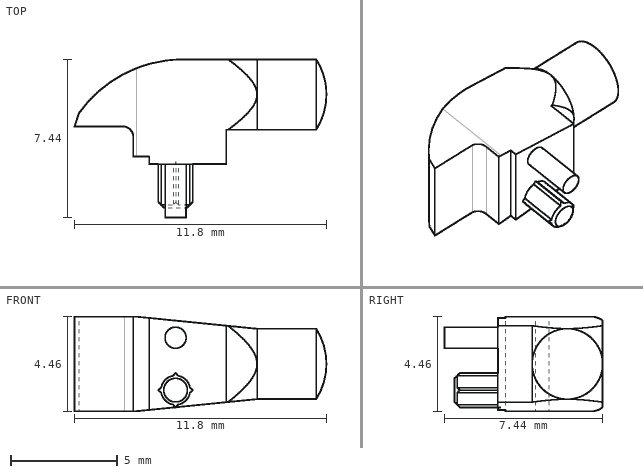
import cadquery as cq
import math

total_length = 11.84

barrel_radius = 1.66
barrel_start = 8.57
dome_height = 0.49
dome_start = total_length - dome_height
cone_angle = 30.0

back_y = barrel_radius
beak_under_y = -1.5
beak_edge = (0.2, -0.88)
beak_arc_radius = 6.0
throat_x = 2.76
throat_radius = 0.5
throat_start = 2.33
shoulder_y = -2.91
foot_start = 3.5
foot_end = 7.14
foot_y = -3.27

body_half_width = 2.23
taper_start = 2.9

pin_x = 4.75
pin_offset_z = 1.23
plain_pin_radius = 0.5
plain_pin_end = -5.78
ribbed_pin_radius = 0.69
ribbed_pin_end = -5.3
rib_tip_radius = 0.82
rib_root_radius = 0.59
rib_half_width = 0.19
rib_count = 4
pin_chamfer = 0.26
pin_root_y = foot_y + 0.12


def make_body():
    """Beaked outline, narrowed in Z toward the barrel and trimmed by a cone."""
    arc_drop = back_y - beak_edge[1]
    arc_run = math.sqrt(2 * beak_arc_radius * arc_drop - arc_drop**2)
    arc_end_x = beak_edge[0] + arc_run
    outline = (
        cq.Workplane("XY")
        .moveTo(0, beak_under_y)
        .lineTo(*beak_edge)
        .radiusArc((arc_end_x, back_y), beak_arc_radius)
        .lineTo(barrel_start, back_y)
        .lineTo(barrel_start, -barrel_radius)
        .lineTo(foot_end, -barrel_radius)
        .lineTo(foot_end, foot_y)
        .lineTo(foot_start, foot_y)
        .lineTo(foot_start, shoulder_y)
        .lineTo(throat_x, shoulder_y)
        .lineTo(throat_x, beak_under_y - throat_radius)
        .radiusArc((throat_start, beak_under_y), -throat_radius)
        .close()
        .extrude(body_half_width, both=True)
    )
    width_outline = (
        cq.Workplane("XZ", origin=(0, back_y, 0))
        .polyline([
            (0, -body_half_width),
            (taper_start, -body_half_width),
            (barrel_start, -barrel_radius),
            (barrel_start, barrel_radius),
            (taper_start, body_half_width),
            (0, body_half_width),
        ])
        .close()
        .extrude(back_y - foot_y)
    )
    nose_cone = (
        cq.Workplane("XY")
        .moveTo(0, 0)
        .lineTo(0, barrel_radius + barrel_start * math.tan(math.radians(cone_angle)))
        .lineTo(barrel_start, barrel_radius)
        .lineTo(barrel_start, 0)
        .close()
        .revolve(360, (0, 0, 0), (1, 0, 0))
    )
    nose_length = barrel_start - foot_end
    nose_block = cq.Workplane("XY").box(
        nose_length, 2 * barrel_radius, 2 * body_half_width
    ).translate((foot_end + nose_length / 2, 0, 0))
    return outline.intersect(width_outline).cut(nose_block.cut(nose_cone))


def make_barrel():
    """Round barrel with a domed end."""
    dome_radius = (barrel_radius**2 + dome_height**2) / (2 * dome_height)
    return (
        cq.Workplane("XY")
        .moveTo(foot_end, 0)
        .lineTo(foot_end, barrel_radius)
        .lineTo(dome_start, barrel_radius)
        .radiusArc((total_length, 0), dome_radius)
        .close()
        .revolve(360, (0, 0, 0), (1, 0, 0))
    )


def make_pin(radius, end_y, z):
    """Cylinder from inside the foot down to end_y."""
    return (
        cq.Workplane("XZ", origin=(pin_x, pin_root_y, z))
        .circle(radius)
        .extrude(pin_root_y - end_y)
    )


def make_ribbed_pin():
    """Pin with pointed ribs and a chamfered end."""
    z = -pin_offset_z
    length = pin_root_y - ribbed_pin_end
    pin = make_pin(ribbed_pin_radius, ribbed_pin_end, z)
    for i in range(rib_count):
        rib = (
            cq.Workplane("XZ", origin=(pin_x, pin_root_y, z))
            .transformed(rotate=(0, 0, i * 360 / rib_count))
            .polyline([
                (0, -rib_half_width),
                (rib_root_radius, -rib_half_width),
                (rib_tip_radius, 0),
                (rib_root_radius, rib_half_width),
                (0, rib_half_width),
            ])
            .close()
            .extrude(length)
        )
        pin = pin.union(rib)
    envelope = make_pin(rib_tip_radius, ribbed_pin_end, z).faces("<Y").chamfer(pin_chamfer)
    return pin.intersect(envelope)


result = (
    make_body()
    .union(make_barrel())
    .union(make_pin(plain_pin_radius, plain_pin_end, pin_offset_z))
    .union(make_ribbed_pin())
)